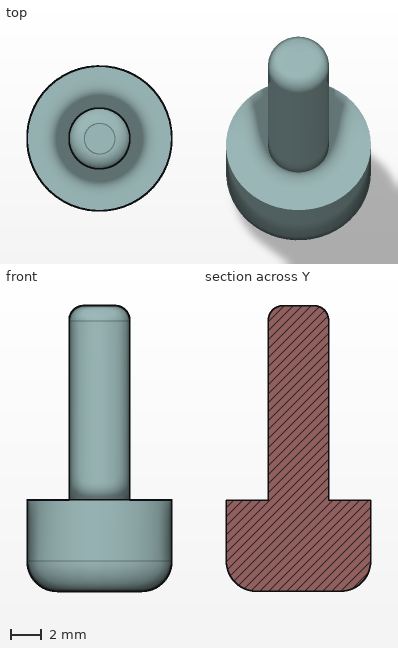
import cadquery as cq

total_height = 18.75
head_diameter = 9.5
head_height = 6.0
head_edge_radius = 2.0
pin_diameter = 4.0
tip_edge_radius = 1.0


def make_head():
    """Cylindrical head standing on Z = 0, with its lower rim rounded."""
    head = cq.Workplane("XY").circle(head_diameter / 2).extrude(head_height)
    return head.faces("<Z").edges().fillet(head_edge_radius)


def make_pin():
    """Slender pin rising from the top of the head, with a rounded tip."""
    pin_length = total_height - head_height
    pin = (
        cq.Workplane("XY")
        .workplane(offset=head_height)
        .circle(pin_diameter / 2)
        .extrude(pin_length)
    )
    return pin.faces(">Z").edges().fillet(tip_edge_radius)


result = make_head().union(make_pin())